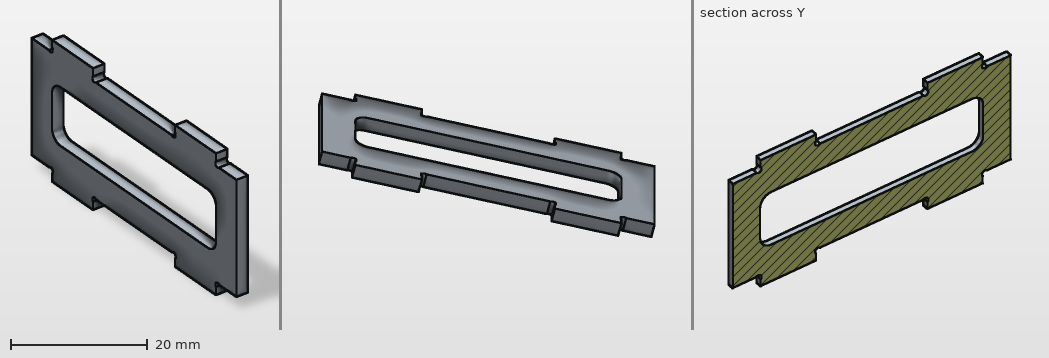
import cadquery as cq
import math

plate_length = 50.0
plate_height = 20.0
thickness = 2.1

tab_width = 10.0
tab_spacing = 30.0
tab_projection = thickness

window_length = 40.0
window_height = 10.0
window_corner_radius = 2.0

relief_radius = 0.5
relief_offset = relief_radius / math.sqrt(2)


def block(length, height):
    """Centred rectangular block of the plate thickness."""
    return cq.Workplane("XY").box(length, thickness, height)


def corner_reliefs():
    """Cylinders through the plate at both sides of every tab."""
    points = []
    for z_side in (-1, 1):
        z = z_side * (plate_height / 2 + relief_offset)
        for tab_x in (-tab_spacing / 2, tab_spacing / 2):
            for x_side in (-1, 1):
                x = tab_x + x_side * (tab_width / 2 + relief_offset)
                points.append((x, z))
    return (
        cq.Workplane("XZ")
        .pushPoints(points)
        .circle(relief_radius)
        .extrude(thickness / 2, both=True)
    )


tab_strip = block(tab_width, plate_height + 2 * tab_projection)
body = block(plate_length, plate_height)
for strip_x in (-tab_spacing / 2, tab_spacing / 2):
    body = body.union(tab_strip.translate((strip_x, 0, 0)))

window = block(window_length, window_height).edges("|Y").fillet(window_corner_radius)

result = body.cut(window).cut(corner_reliefs())